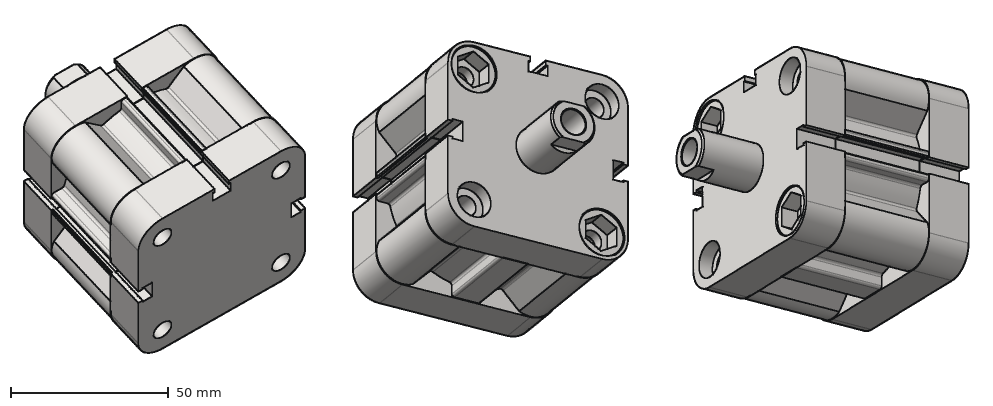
import cadquery as cq
import math

OVERALL_LENGTH = 84.5
CAP_FRONT_X = 23.0
BARREL_START_X = 37.7
BARREL_END_X = 69.55
BARREL_LENGTH = BARREL_END_X - BARREL_START_X

CAP_SIDE = 65.5
CAP_HALF = CAP_SIDE / 2
BOLT_OFFSET = 23.2
CAP_CORNER_RADIUS = CAP_HALF - BOLT_OFFSET

BARREL_INSET = 0.25
BARREL_HALF = CAP_HALF - BARREL_INSET
POST_RADIUS = BARREL_HALF - BOLT_OFFSET
TUBE_RADIUS = 28.2
POST_HALF_WIDTH = 8.7
RAIL_HALF_WIDTH = 5.2
RAIL_CORNER_RADIUS = 0.9
FLUTE_FILLET = 1.0
EDGE_TOLERANCE = 0.01

SLOT_NECK_WIDTH = 5.7
CAP_SLOT_WIDTH = 6.9
CAP_SLOT_DEPTH = 5.4
SLOT_LIP = 1.7
BARREL_SLOT_EXTRA = 0.2
BARREL_SLOT_WIDTH = CAP_SLOT_WIDTH + 2 * BARREL_SLOT_EXTRA
BARREL_SLOT_DEPTH = CAP_SLOT_DEPTH + 2 * BARREL_SLOT_EXTRA
BARREL_LIP_CHAMFER = 0.4
SLOTTED_SIDE_ANGLES = (0, 90, 180)

BOLT_HOLE_DIAMETER = 7.0
PLAIN_BORE_DIAMETER = 12.2
PLAIN_BORE_DEPTH = 5.1
SCREW_BORE_DIAMETER = 16.5
SCREW_GAP = 0.25
SCREW_HEAD_DIAMETER = SCREW_BORE_DIAMETER - 2 * SCREW_GAP
SCREW_RECESS = 0.5
SCREW_HEAD_LENGTH = 10.1
HEX_ACROSS_FLATS = 11.15
HEX_DEPTH = 6.1
SCREW_CENTERS = [(BOLT_OFFSET, BOLT_OFFSET), (-BOLT_OFFSET, -BOLT_OFFSET)]
PLAIN_CENTERS = [(-BOLT_OFFSET, BOLT_OFFSET), (BOLT_OFFSET, -BOLT_OFFSET)]

ROD_DIAMETER = 16.0
ROD_END_X = BARREL_START_X
ROD_TIP_CHAMFER = 0.6
FLAT_ACROSS = 12.9
FLAT_LENGTH = 6.25
FLAT_RUNOUT = 0.3
THREAD_DIAMETER = 8.8
THREAD_DEPTH = 20.3
THREAD_CHAMFER = 0.25
DRILL_TIP_ANGLE = 118


def section_at(x):
    """Workplane across the axis: local x is Y, local y is Z, extrusion goes to +X."""
    return cq.Workplane("YZ", origin=(x, 0, 0))


def turned(shape, angle):
    return shape.rotate((0, 0, 0), (1, 0, 0), angle)


def make_cap(start_x, end_x):
    """Square end cap with corners rounded about the bolt holes."""
    blank = section_at(start_x).rect(CAP_SIDE, CAP_SIDE).extrude(end_x - start_x)
    return blank.edges("|X").fillet(CAP_CORNER_RADIUS)


def make_rail(angle):
    """Raised rail on the +Y side of the barrel, turned about the axis."""
    rail = (
        section_at(BARREL_START_X)
        .center(BARREL_HALF / 2, 0)
        .rect(BARREL_HALF, 2 * RAIL_HALF_WIDTH)
        .extrude(BARREL_LENGTH)
        .edges("|X and >Y")
        .fillet(RAIL_CORNER_RADIUS)
    )
    return turned(rail, angle)


def make_post(angle):
    """Flat-sided corner post with a round outer face, reaching in to the axis."""
    post_distance = BOLT_OFFSET * math.sqrt(2)
    flat_length = post_distance + math.sqrt(POST_RADIUS**2 - POST_HALF_WIDTH**2)
    post = (
        section_at(BARREL_START_X)
        .moveTo(0, -POST_HALF_WIDTH)
        .lineTo(flat_length, -POST_HALF_WIDTH)
        .threePointArc((post_distance + POST_RADIUS, 0), (flat_length, POST_HALF_WIDTH))
        .lineTo(0, POST_HALF_WIDTH)
        .close()
        .extrude(BARREL_LENGTH)
    )
    return turned(post, angle)


def is_on_tube(edge):
    """True for the inside corners where rails and posts meet the round tube."""
    middle = edge.Center()
    return abs(math.hypot(middle.y, middle.z) - TUBE_RADIUS) < EDGE_TOLERANCE


def make_barrel():
    barrel = section_at(BARREL_START_X).circle(TUBE_RADIUS).extrude(BARREL_LENGTH)
    for angle in (0, 90, 180, 270):
        barrel = barrel.union(make_rail(angle))
        barrel = barrel.union(make_post(angle + 45))
    return barrel.edges("|X").filter(is_on_tube).fillet(FLUTE_FILLET)


def make_slot(start_x, end_x, width, depth):
    """T-slot cutter for the +Y side, with its depth measured from the cap face."""
    length = end_x - start_x
    neck = section_at(start_x).center(CAP_HALF - depth / 2, 0).rect(depth, SLOT_NECK_WIDTH).extrude(length)
    undercut_height = depth - SLOT_LIP
    undercut = (
        section_at(start_x)
        .center(CAP_HALF - depth + undercut_height / 2, 0)
        .rect(undercut_height, width)
        .extrude(length)
    )
    return neck.union(undercut)


def make_lip_chamfers():
    """Cutter that bevels both slot edges on the outer face of a barrel rail."""
    half_neck = SLOT_NECK_WIDTH / 2
    half_mouth = half_neck + BARREL_LIP_CHAMFER
    inner_y = BARREL_HALF - BARREL_LIP_CHAMFER
    return (
        section_at(BARREL_START_X)
        .polyline(
            [
                (inner_y, -half_neck),
                (BARREL_HALF, -half_mouth),
                (BARREL_HALF, half_mouth),
                (inner_y, half_neck),
            ]
        )
        .close()
        .extrude(BARREL_LENGTH)
    )


def make_housing():
    housing = (
        make_cap(CAP_FRONT_X, BARREL_START_X)
        .union(make_barrel())
        .union(make_cap(BARREL_END_X, OVERALL_LENGTH))
    )
    cap_slot = make_slot(CAP_FRONT_X, OVERALL_LENGTH, CAP_SLOT_WIDTH, CAP_SLOT_DEPTH)
    barrel_slot = make_slot(BARREL_START_X, BARREL_END_X, BARREL_SLOT_WIDTH, BARREL_SLOT_DEPTH)
    slot = cap_slot.union(barrel_slot).union(make_lip_chamfers())
    for angle in SLOTTED_SIDE_ANGLES:
        housing = housing.cut(turned(slot, angle))

    front = section_at(CAP_FRONT_X)
    bolt_holes = (
        front.pushPoints(SCREW_CENTERS + PLAIN_CENTERS)
        .circle(BOLT_HOLE_DIAMETER / 2)
        .extrude(OVERALL_LENGTH - CAP_FRONT_X)
    )
    plain_bores = front.pushPoints(PLAIN_CENTERS).circle(PLAIN_BORE_DIAMETER / 2).extrude(PLAIN_BORE_DEPTH)
    screw_bores = (
        front.pushPoints(SCREW_CENTERS)
        .circle(SCREW_BORE_DIAMETER / 2)
        .extrude(SCREW_RECESS + SCREW_HEAD_LENGTH)
    )
    rod_bore = front.circle(ROD_DIAMETER / 2).extrude(ROD_END_X - CAP_FRONT_X)
    return housing.cut(bolt_holes).cut(plain_bores).cut(screw_bores).cut(rod_bore)


def make_rod():
    radius = ROD_DIAMETER / 2
    rod = section_at(0).circle(radius).extrude(ROD_END_X).faces("<X").chamfer(ROD_TIP_CHAMFER)

    flat_cutter = (
        cq.Workplane("XZ")
        .polyline(
            [
                (0, FLAT_ACROSS / 2),
                (FLAT_LENGTH, FLAT_ACROSS / 2),
                (FLAT_LENGTH + FLAT_RUNOUT, radius),
                (0, radius),
            ]
        )
        .close()
        .extrude(radius, both=True)
    )
    rod = rod.cut(flat_cutter).cut(turned(flat_cutter, 180))

    thread_radius = THREAD_DIAMETER / 2
    drill_tip_length = thread_radius / math.tan(math.radians(DRILL_TIP_ANGLE / 2))
    threaded_hole = (
        cq.Workplane("XY")
        .polyline(
            [
                (0, 0),
                (0, thread_radius + THREAD_CHAMFER),
                (THREAD_CHAMFER, thread_radius),
                (THREAD_DEPTH, thread_radius),
                (THREAD_DEPTH + drill_tip_length, 0),
            ]
        )
        .close()
        .revolve(360, (0, 0, 0), (1, 0, 0))
    )
    return rod.cut(threaded_hole)


def make_screw(center):
    """Hollow hexagon-socket screw head, seated on the floor of its bore."""
    face = section_at(CAP_FRONT_X + SCREW_RECESS).center(*center)
    head = face.circle(SCREW_HEAD_DIAMETER / 2).extrude(SCREW_HEAD_LENGTH)
    socket = face.polygon(6, HEX_ACROSS_FLATS, circumscribed=True).extrude(HEX_DEPTH)
    through_hole = face.circle(BOLT_HOLE_DIAMETER / 2).extrude(SCREW_HEAD_LENGTH)
    return head.cut(socket).cut(through_hole)


housing = make_housing()
rod = make_rod()
screws = [make_screw(center) for center in SCREW_CENTERS]

result = cq.Compound.makeCompound([housing.val(), rod.val(), *[screw.val() for screw in screws]])